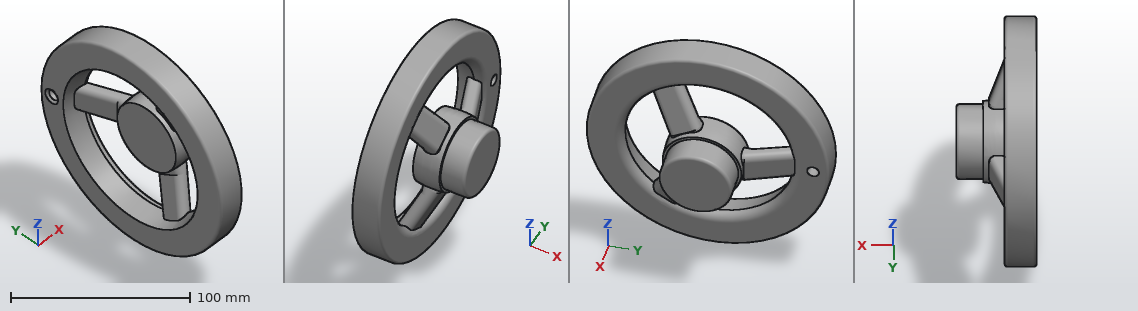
import cadquery as cq
import math

rim_diameter = 140.0
rim_width = 18.0
edge_radius = 2.0
rim_mouth_radius = 52.0
rim_waist = 12.9
rim_waist_radius = 48.6

hub_front = 13.0
hub_shoulder = 30.0
hub_back = 45.0
hub_end_radius = 22.7
hub_middle_radius = 23.4
neck_diameter = 42.0

spoke_count = 3
spoke_slope = 21.0
spoke_back = 26.7
spoke_thickness = 10.5
spoke_fillet = 4.2
spoke_inner_radius = 14.0
spoke_outer_radius = 54.6
front_bend_radius = 25.8
back_bend_radius = 23.4
spoke_inner_half_width = 10.1
spoke_outer_half_width = 9.4

hole_diameter = 6.9
hole_countersink = 1.5
hole_position = 60.9


def revolve_about_x(profile):
    return profile.close().revolve(360, (0, 0, 0), (1, 0, 0))


def make_rim():
    outer_radius = rim_diameter / 2
    round_radius = rim_width - rim_waist
    round_middle = (
        rim_waist + round_radius * math.sin(math.pi / 4),
        rim_waist_radius + round_radius * (1 - math.cos(math.pi / 4)),
    )
    ring = revolve_about_x(
        cq.Workplane("XY")
        .moveTo(0, rim_mouth_radius)
        .lineTo(0, outer_radius)
        .lineTo(rim_width, outer_radius)
        .lineTo(rim_width, rim_waist_radius + round_radius)
        .threePointArc(round_middle, (rim_waist, rim_waist_radius))
    )
    rounded_disc = (
        cq.Workplane("YZ")
        .circle(outer_radius)
        .extrude(rim_width)
        .edges("%CIRCLE")
        .fillet(edge_radius)
    )
    return ring.intersect(rounded_disc)


def make_hub():
    hub_middle = (hub_front + hub_shoulder) / 2
    body = revolve_about_x(
        cq.Workplane("XY")
        .moveTo(hub_front, 0)
        .lineTo(hub_front, hub_end_radius)
        .threePointArc((hub_middle, hub_middle_radius), (hub_shoulder, hub_end_radius))
        .lineTo(hub_shoulder, 0)
    )
    neck = (
        cq.Workplane("YZ", origin=(hub_shoulder, 0, 0))
        .circle(neck_diameter / 2)
        .extrude(hub_back - hub_shoulder)
        .faces(">X")
        .edges()
        .fillet(edge_radius)
    )
    return body.union(neck)


def sloped_end(face_x, bend_radius):
    """Outer end of a spoke face that leaves the radial direction at the given radius."""
    drop = (spoke_outer_radius - bend_radius) * math.tan(math.radians(spoke_slope))
    return face_x - drop, spoke_outer_radius


def make_spoke():
    spoke_front = spoke_back - spoke_thickness
    side_profile = (
        cq.Workplane("XY")
        .moveTo(spoke_front, spoke_inner_radius)
        .lineTo(spoke_front, front_bend_radius)
        .lineTo(*sloped_end(spoke_front, front_bend_radius))
        .lineTo(*sloped_end(spoke_back, back_bend_radius))
        .lineTo(spoke_back, back_bend_radius)
        .lineTo(spoke_back, spoke_inner_radius)
        .close()
        .extrude(spoke_inner_half_width, both=True)
    )
    tapered_plan = (
        cq.Workplane("YZ")
        .moveTo(spoke_inner_radius, -spoke_inner_half_width)
        .lineTo(spoke_outer_radius, -spoke_outer_half_width)
        .lineTo(spoke_outer_radius, spoke_outer_half_width)
        .lineTo(spoke_inner_radius, spoke_inner_half_width)
        .close()
        .extrude(hub_back)
    )
    spoke = side_profile.intersect(tapered_plan)
    long_edges = spoke.faces(">Z or <Z").edges("not(<Y or >Y)")
    return long_edges.fillet(spoke_fillet)


def make_handle_hole():
    countersink_radius = hole_diameter / 2 + hole_countersink
    return revolve_about_x(
        cq.Workplane("XY")
        .lineTo(0, countersink_radius)
        .lineTo(hole_countersink, hole_diameter / 2)
        .lineTo(rim_width, hole_diameter / 2)
        .lineTo(rim_width, 0)
    ).translate((0, hole_position, 0))


result = make_rim().union(make_hub())
spoke = make_spoke()
for index in range(spoke_count):
    angle = index * 360 / spoke_count
    result = result.union(spoke.rotate((0, 0, 0), (1, 0, 0), angle))
result = result.cut(make_handle_hole())